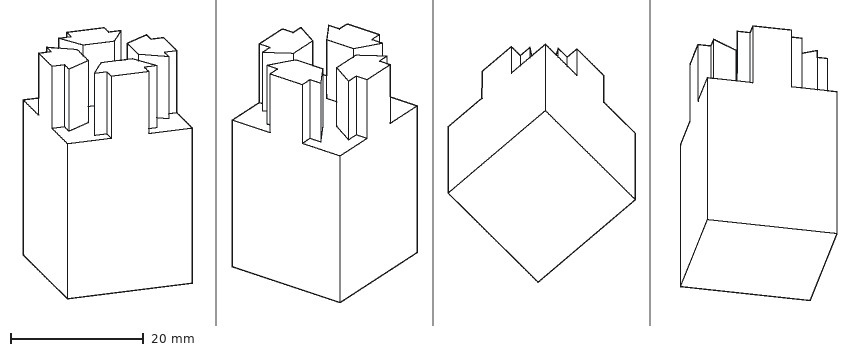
import cadquery as cq

block_side = 20.0
block_height = 25.0

key_count = 4
key_height = 10.0
neck_width = 6.0
neck_depth = 2.0
head_outer_width = 10.0
head_inner_width = 5.0
head_depth = 4.0


def make_block():
    """Square block with its base on Z = 0."""
    return cq.Workplane("XY").box(block_side, block_side, block_height, centered=(True, True, False))


def make_key():
    """Key on the +X side: a neck flush with the block side and a head that tapers inward."""
    outer_x = block_side / 2
    shoulder_x = outer_x - neck_depth
    inner_x = shoulder_x - head_depth
    outline = [
        (outer_x, -neck_width / 2),
        (outer_x, neck_width / 2),
        (shoulder_x, neck_width / 2),
        (shoulder_x, head_outer_width / 2),
        (inner_x, head_inner_width / 2),
        (inner_x, -head_inner_width / 2),
        (shoulder_x, -head_outer_width / 2),
        (shoulder_x, -neck_width / 2),
    ]
    return cq.Workplane("XY").workplane(offset=block_height).polyline(outline).close().extrude(key_height)


def add_keys(body):
    """Join one key to each side of the block, evenly spaced about Z."""
    key = make_key()
    for index in range(key_count):
        angle = index * 360.0 / key_count
        body = body.union(key.rotate((0, 0, 0), (0, 0, 1), angle))
    return body


result = add_keys(make_block())